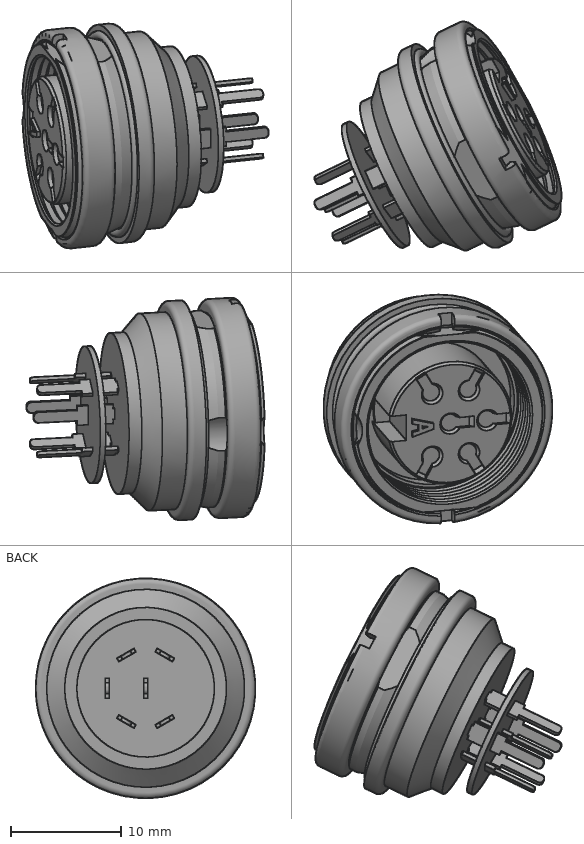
import cadquery as cq
import math


INSERT_RADIUS = 5.85
INSERT_FACE_RADIUS = 5.65
INSERT_CHAMFER_LENGTH = 0.29
INSERT_KEY_WIDTH = 2.45
INSERT_KEY_BOTTOM_X = -4.18

RIM_Y = 0.33
RIM_RADIUS = 8.77
NECK_CONE_Y = 4.65
NECK_RADIUS = 8.59
SEAL_RADIUS = 18.9 / 2
SEAL_SECTION_RADIUS = 0.39
FLANGE_Y = 5.98
FLANGE_RADIUS = 20.0 / 2
FLANGE_ROUND = 0.49
BARREL_Y = 7.55
BARREL_RADIUS = 18.0 / 2
BARREL_CONE_Y = 9.85
REAR_Y = 11.45
REAR_RADIUS = 14.7 / 2
REAR_END_Y = 12.63
FLAT_HALF_HEIGHT = 8.43

KEYWAY_RADIUS = 2.26
KEYWAY_BOTTOM_X = -8.25

THREAD_PITCH = 0.75
THREAD_DEPTH = 0.47
THREAD_RADIUS = BARREL_RADIUS
THREAD_ROOT_Y = 0.6
THREAD_GROOVES = 5

BORE_RADIUS = 14.7 / 2
BORE_FLOOR_Y = 5.92
BORE_THREAD_RADIUS = 15.3 / 2
BORE_THREAD_ROOT_Y = 0.1
BORE_THREAD_GROOVES = 6
BORE_THREAD_END_Y = 4.65
KEY_FLOOR_RADIUS = 5.65
KEY_FLOOR_Y = 5.5

CONTACT_CIRCLE_RADIUS = 3.49
CONTACT_ANGLES = (0, 60, 120, 240, 300)
OPENING_RADIUS = 2.0 / 2
OPENING_FLOOR_RADIUS = 1.6 / 2
OPENING_DEPTH = 0.37
SLOT_WIDTH = 1.0
SLOT_LENGTH = 2.22

BLADE_THICKNESS = 0.35
BLADE_WIDTH = 1.8
BLADE_TIP_WIDTH = 1.0
BLADE_NECK_LENGTH = 0.12
BLADE_SHOULDER_Y = 16.05
BLADE_TIP_Y = 20.07
BLADE_TIP_ROUND = 0.39
DISC_RADIUS = 12.5 / 2
DISC_Y = 14.57
DISC_THICKNESS = 0.5

MARK_HEIGHT = 0.33
MARK_FOOT_X = -3.67
MARK_APEX_X = -1.7
MARK_FOOT_OUTER = 0.84
MARK_FOOT_INNER = 0.39
MARK_APEX_HALF = 0.27
MARK_BAR_X = -3.08
MARK_BAR_HALF = 0.27
MARK_EYE_BASE_X = -2.73
MARK_EYE_TIP_X = -2.26
MARK_EYE_HALF = 0.12

NUT_FRONT_Y = 0.85
NUT_BACK_Y = 3.84
NUT_RADIUS = FLANGE_RADIUS
NUT_MOUTH_RADIUS = 18.3 / 2
NUT_ROUND = FLANGE_ROUND
NUT_SLOT_WIDTH = 1.26
NUT_SLOT_DEPTH = 1.0


def plane_at(y):
    """Work plane across the axis at the given Y, with local axes X and Z."""
    return cq.Workplane("XZ", origin=(0, y, 0))


def turned(points):
    """Solid turned about the Y axis from a closed (radius, y) outline."""
    return cq.Workplane("XY").polyline(points).close().revolve(360, (0, 0), (0, 1))


def cylinder(radius, y_start, y_end):
    """Cylinder on the Y axis."""
    return plane_at(y_start).circle(radius).extrude(y_start - y_end)


def v_rings(crest_radius, root_radius, first_root_y, count):
    """List of triangular rings, one thread pitch apart, each one pitch wide at the crest radius."""
    rings = []
    for i in range(count):
        root_y = first_root_y + i * THREAD_PITCH
        start_y = root_y - THREAD_PITCH / 2
        end_y = root_y + THREAD_PITCH / 2
        rings.append(turned([(crest_radius, start_y), (root_radius, root_y), (crest_radius, end_y)]))
    return rings


def threaded_core():
    """Round threaded neck before its flats, keyway and bore; the nut's thread is its counterpart."""
    core = turned([
        (0, RIM_Y),
        (RIM_RADIUS, RIM_Y),
        (THREAD_RADIUS, THREAD_ROOT_Y),
        (THREAD_RADIUS, NECK_CONE_Y),
        (NECK_RADIUS, FLANGE_Y),
        (0, FLANGE_Y),
    ])
    for ring in v_rings(THREAD_RADIUS, THREAD_RADIUS - THREAD_DEPTH, THREAD_ROOT_Y, THREAD_GROOVES):
        core = core.cut(ring)
    return core


def threaded_neck():
    """Threaded neck with two flats and a keyway."""
    flats = plane_at(0).rect(2 * FLANGE_RADIUS, 2 * FLAT_HALF_HEIGHT).extrude(-FLANGE_Y)
    keyway_center_x = KEYWAY_BOTTOM_X - KEYWAY_RADIUS
    keyway = plane_at(0).center(keyway_center_x, 0).circle(KEYWAY_RADIUS).extrude(-FLANGE_Y)
    return threaded_core().intersect(flats).cut(keyway)


def rear_shell():
    """Round-section seal ring half sunk in the flange, the flange, and the stepped barrel behind the neck."""
    ring_radius = SEAL_RADIUS - SEAL_SECTION_RADIUS
    seal_section = cq.Workplane("XY").center(ring_radius, FLANGE_Y).circle(SEAL_SECTION_RADIUS)
    seal = seal_section.revolve(360, (-ring_radius, 0), (-ring_radius, 1))
    flange = cylinder(FLANGE_RADIUS, FLANGE_Y, BARREL_Y).faces(">Y").edges().fillet(FLANGE_ROUND)
    barrel = turned([
        (0, FLANGE_Y),
        (BARREL_RADIUS, FLANGE_Y),
        (BARREL_RADIUS, BARREL_CONE_Y),
        (REAR_RADIUS, REAR_Y),
        (REAR_RADIUS, REAR_END_Y),
        (0, REAR_END_Y),
    ])
    return seal.union(flange).union(barrel)


def front_bore():
    """Cavity around the insert: a threaded length, then a narrower plain bore."""
    bore = cylinder(BORE_RADIUS, 0, BORE_FLOOR_Y).union(cylinder(BORE_THREAD_RADIUS, 0, BORE_THREAD_END_Y))
    root_radius = BORE_THREAD_RADIUS + THREAD_DEPTH
    for ring in v_rings(BORE_THREAD_RADIUS, root_radius, BORE_THREAD_ROOT_Y, BORE_THREAD_GROOVES):
        bore = bore.union(ring)
    return bore


def contact_opening(x, z, angle):
    """Tapered round recess with a ramped slot leading away at the given angle."""
    recess = turned([
        (0, 0),
        (OPENING_RADIUS, 0),
        (OPENING_FLOOR_RADIUS, OPENING_DEPTH),
        (0, OPENING_DEPTH),
    ])
    slot_floor_end = SLOT_LENGTH - OPENING_DEPTH
    slot = (
        cq.Workplane("XY", origin=(0, 0, -SLOT_WIDTH / 2))
        .polyline([(0, 0), (SLOT_LENGTH, 0), (slot_floor_end, OPENING_DEPTH), (0, OPENING_DEPTH)])
        .close()
        .extrude(SLOT_WIDTH)
    )
    return recess.union(slot).rotate((0, 0, 0), (0, 1, 0), -angle).translate((x, 0, z))


def contact_places():
    """(x, z, angle) of the centre contact and of those on the contact circle."""
    places = [(0, 0, 0)]
    for angle in CONTACT_ANGLES:
        turn = math.radians(angle)
        places.append((CONTACT_CIRCLE_RADIUS * math.cos(turn), CONTACT_CIRCLE_RADIUS * math.sin(turn), angle))
    return places


def insert():
    """Contact carrier standing in the bore, with its key slot and contact openings."""
    body = turned([
        (0, 0),
        (INSERT_FACE_RADIUS, 0),
        (INSERT_RADIUS, INSERT_CHAMFER_LENGTH),
        (INSERT_RADIUS, BORE_FLOOR_Y),
        (0, BORE_FLOOR_Y),
    ])
    key_length = INSERT_RADIUS + INSERT_KEY_BOTTOM_X
    key_center_x = INSERT_KEY_BOTTOM_X - key_length / 2
    key_slot = plane_at(0).center(key_center_x, 0).rect(key_length, INSERT_KEY_WIDTH).extrude(-BORE_FLOOR_Y)
    key_floor = cylinder(KEY_FLOOR_RADIUS, KEY_FLOOR_Y, BORE_FLOOR_Y)
    body = body.cut(key_slot).union(key_floor)
    for x, z, angle in contact_places():
        body = body.cut(contact_opening(x, z, angle))
    return body


def orientation_mark():
    """Raised A-shaped mark on the insert face."""
    outline = [
        (MARK_FOOT_X, MARK_FOOT_OUTER),
        (MARK_APEX_X, MARK_APEX_HALF),
        (MARK_APEX_X, -MARK_APEX_HALF),
        (MARK_FOOT_X, -MARK_FOOT_OUTER),
        (MARK_FOOT_X, -MARK_FOOT_INNER),
        (MARK_BAR_X, -MARK_BAR_HALF),
        (MARK_BAR_X, MARK_BAR_HALF),
        (MARK_FOOT_X, MARK_FOOT_INNER),
    ]
    eye = [(MARK_EYE_BASE_X, MARK_EYE_HALF), (MARK_EYE_TIP_X, 0), (MARK_EYE_BASE_X, -MARK_EYE_HALF)]
    return plane_at(0).polyline(outline).close().polyline(eye).close().extrude(MARK_HEIGHT)


def pin_blade(x, z, angle):
    """Flat pin with a wide shoulder and a rounded tip, its flat face normal to the given angle."""
    neck = plane_at(REAR_END_Y).rect(BLADE_THICKNESS, BLADE_TIP_WIDTH).extrude(REAR_END_Y - BLADE_TIP_Y)
    neck = neck.faces(">Y").edges("|X").fillet(BLADE_TIP_ROUND)
    shoulder_start_y = REAR_END_Y + BLADE_NECK_LENGTH
    shoulder = plane_at(shoulder_start_y).rect(BLADE_THICKNESS, BLADE_WIDTH)
    shoulder = shoulder.extrude(shoulder_start_y - BLADE_SHOULDER_Y)
    return neck.union(shoulder).rotate((0, 0, 0), (0, 1, 0), -angle).translate((x, 0, z))


def make_connector():
    """Housing with its insert, pins and pin disc, as one solid."""
    body = threaded_neck().union(rear_shell()).cut(front_bore())
    body = body.union(insert()).union(orientation_mark())
    for x, z, angle in contact_places():
        body = body.union(pin_blade(x, z, angle))
    return body.union(cylinder(DISC_RADIUS, DISC_Y, DISC_Y + DISC_THICKNESS))


def make_ring_nut():
    """Round nut on the neck, with two driving slots across its front."""
    nut = cylinder(NUT_RADIUS, NUT_FRONT_Y, NUT_BACK_Y).edges().fillet(NUT_ROUND)
    mouth_depth = NUT_MOUTH_RADIUS - THREAD_RADIUS
    mouth = turned([
        (0, NUT_FRONT_Y),
        (NUT_MOUTH_RADIUS, NUT_FRONT_Y),
        (THREAD_RADIUS, NUT_FRONT_Y + mouth_depth),
        (0, NUT_FRONT_Y + mouth_depth),
    ])
    slots = plane_at(NUT_FRONT_Y).rect(NUT_SLOT_WIDTH, 2 * NUT_RADIUS).extrude(-NUT_SLOT_DEPTH)
    return nut.cut(threaded_core()).cut(mouth).cut(slots)


connector = make_connector()
ring_nut = make_ring_nut()

result = cq.Compound.makeCompound([connector.solids().val(), ring_nut.solids().val()])